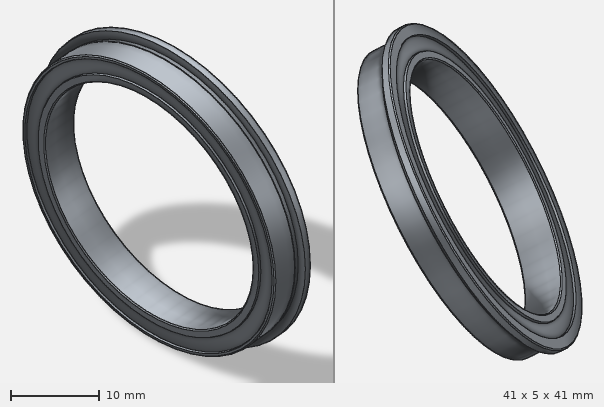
import cadquery as cq

bore_diameter = 32.0
body_diameter = 39.0
flange_diameter = 41.0
width = 5.0
flange_thickness = 1.0

edge_chamfer = 0.15
relief_width = 0.6
relief_depth = 0.1

shield_inner_diameter = 34.1
shield_outer_diameter = 38.0
shield_recess = 0.3
recess_wall_slope = 0.05

bore_radius = bore_diameter / 2
body_radius = body_diameter / 2
flange_radius = flange_diameter / 2
relief_radius = body_radius - relief_depth
shield_inner_radius = shield_inner_diameter / 2
shield_outer_radius = shield_outer_diameter / 2

front_y = -width / 2
back_y = width / 2
flange_y = back_y - flange_thickness


def revolve_about_axis(points):
    """Solid of revolution about Y from a closed outline of (radius, y) points."""
    return cq.Workplane("XY").polyline(points).close().revolve(360, (0, 0, 0), (0, 1, 0))


def make_rings():
    """Inner and outer rings as one solid, with relief groove, flange and edge chamfers."""
    outline = [
        (bore_radius + edge_chamfer, front_y),
        (body_radius - edge_chamfer, front_y),
        (body_radius, front_y + edge_chamfer),
        (body_radius, flange_y - relief_width),
        (relief_radius, flange_y - relief_width),
        (relief_radius, flange_y),
        (flange_radius, flange_y),
        (flange_radius, back_y - edge_chamfer),
        (flange_radius - edge_chamfer, back_y),
        (bore_radius + edge_chamfer, back_y),
        (bore_radius, back_y - edge_chamfer),
        (bore_radius, front_y + edge_chamfer),
    ]
    return revolve_about_axis(outline)


def make_shield_recess():
    """Annular cutter for the front shield recess, widening toward the open end."""
    floor_y = front_y + shield_recess
    outline = [
        (shield_inner_radius - recess_wall_slope, front_y),
        (shield_outer_radius + recess_wall_slope, front_y),
        (shield_outer_radius, floor_y),
        (shield_inner_radius, floor_y),
    ]
    return revolve_about_axis(outline)


front_recess = make_shield_recess()
back_recess = front_recess.mirror("XZ")

result = make_rings().cut(front_recess).cut(back_recess)